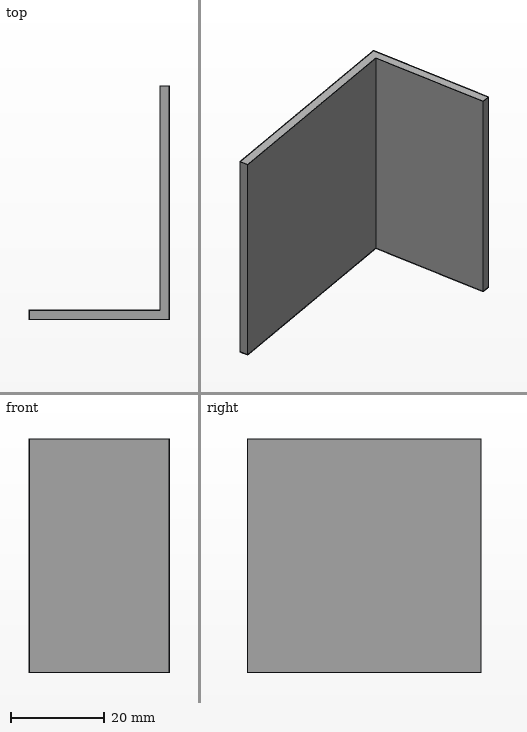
import cadquery as cq

short_leg = 30.0
long_leg = 50.0
height = 50.0
thickness = 2.0

section = [
    (0, 0),
    (short_leg, 0),
    (short_leg, long_leg),
    (short_leg - thickness, long_leg),
    (short_leg - thickness, thickness),
    (0, thickness),
]

result = cq.Workplane("XY").polyline(section).close().extrude(height)